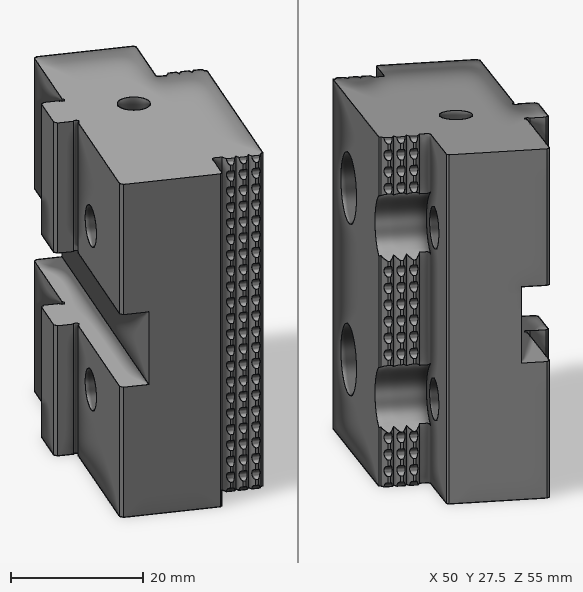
import cadquery as cq
import math

block_width = 50.0
height = 55.0
tongue_depth = 3.5
block_depth = 16.0
grip_depth = 8.0
total_depth = tongue_depth + block_depth + grip_depth

tongue_tip_y = -total_depth / 2
block_front_y = tongue_tip_y + tongue_depth
block_back_y = block_front_y + block_depth
grip_top_y = total_depth / 2

front_chamfer = 0.5
back_chamfer = 0.35

tongue_x = -4.0
tongue_width = 8.05
relief_radius = 0.45
relief_offset = 0.15

grip_x = 2.95
grip_width = 35.0
neck_inset = 1.55
neck_fillet = 0.5
tooth_count = 3
tooth_pitch = 2.0
first_tooth_offset = 1.3
tooth_tip_width = 0.45
tooth_flank_angle = math.radians(30)
tooth_depth = (tooth_pitch - tooth_tip_width) / 2 / math.tan(tooth_flank_angle)

cross_groove_radius = 0.8
cross_groove_offset = 0.1
cross_groove_pitches = 21

slot_height = 12.0
slot_depth = 8.0

hole_diameter = 6.5
counterbore_diameter = 11.0
counterbore_depth = grip_depth
hole_spacing_x = 24.0
hole_spacing_z = 27.0

blind_diameter = 5.0
blind_depth = 15.0
blind_back_offset = 6.0
drill_half_angle = math.radians(59)


def box_between(x_range, y_range):
    """Full-height box between two X and two Y positions."""
    width = x_range[1] - x_range[0]
    depth = y_range[1] - y_range[0]
    box = cq.Workplane("XY").box(width, depth, height, centered=(False, False, True))
    return box.translate((x_range[0], y_range[0], 0))


def make_block():
    block = box_between((-block_width / 2, block_width / 2), (block_front_y, block_back_y))
    block = block.edges("|Z and <Y").chamfer(front_chamfer)
    return block.edges("|Z and >Y").chamfer(back_chamfer)


def make_tongue():
    half = tongue_width / 2
    tongue = box_between((tongue_x - half, tongue_x + half), (tongue_tip_y, block_front_y))
    return tongue.edges("|Z and <Y").chamfer(front_chamfer)


def make_reliefs():
    reach = tongue_width / 2 + relief_offset
    centers = [(tongue_x + side * reach, block_front_y - relief_offset) for side in (-1, 1)]
    return cq.Workplane("XY").pushPoints(centers).circle(relief_radius).extrude(height / 2, both=True)


def grip_half():
    """Half of the grip on the +X side of its middle plane."""
    tip_x = grip_width / 2
    root_x = tip_x - tooth_depth
    neck_x = tip_x - neck_inset
    outline = cq.Workplane("XY").moveTo(0, grip_top_y).lineTo(root_x, grip_top_y)
    for index in range(tooth_count):
        tooth_y = grip_top_y - first_tooth_offset - index * tooth_pitch
        outline = outline.lineTo(root_x, tooth_y + tooth_pitch / 2)
        outline = outline.lineTo(tip_x, tooth_y + tooth_tip_width / 2)
        outline = outline.lineTo(tip_x, tooth_y - tooth_tip_width / 2)
    last_tooth_y = grip_top_y - first_tooth_offset - (tooth_count - 1) * tooth_pitch
    neck_y = last_tooth_y - tooth_tip_width / 2 - neck_inset * math.tan(tooth_flank_angle)
    outline = outline.lineTo(neck_x, neck_y).lineTo(neck_x, block_back_y + neck_fillet)
    outline = outline.radiusArc((neck_x + neck_fillet, block_back_y), -neck_fillet)
    return outline.lineTo(0, block_back_y).close().extrude(height / 2, both=True)


def make_grip():
    half = grip_half()
    grip = half.union(half.mirror("YZ"))
    return grip.translate((grip_x, 0, 0))


def make_cross_grooves():
    pitch = height / cross_groove_pitches
    reach = grip_width / 2 + cross_groove_offset
    centers = []
    for side in (-1, 1):
        for index in range(cross_groove_pitches + 1):
            centers.append((grip_x + side * reach, -height / 2 + index * pitch))
    plane = cq.Workplane("XZ", origin=(0, grip_top_y, 0))
    return plane.pushPoints(centers).circle(cross_groove_radius).extrude(grip_depth)


def make_slot():
    slot = cq.Workplane("XY").box(block_width, slot_depth, slot_height)
    return slot.translate((0, tongue_tip_y + slot_depth / 2, 0))


def make_mounting_holes():
    plane = cq.Workplane("XZ", origin=(tongue_x, grip_top_y, 0))
    plane = plane.rarray(hole_spacing_x, hole_spacing_z, 2, 2)
    holes = plane.circle(hole_diameter / 2).extrude(total_depth)
    counterbores = plane.circle(counterbore_diameter / 2).extrude(counterbore_depth)
    return holes.union(counterbores)


def make_blind_hole():
    radius = blind_diameter / 2
    bottom_z = height / 2 - blind_depth
    tip_z = bottom_z - radius / math.tan(drill_half_angle)
    half_section = [(0, height / 2), (radius, height / 2), (radius, bottom_z), (0, tip_z)]
    hole = cq.Workplane("XZ").polyline(half_section).close().revolve(360, (0, 0, 0), (0, 1, 0))
    return hole.translate((tongue_x, block_back_y - blind_back_offset, 0))


result = make_block().union(make_tongue()).union(make_grip())
result = result.cut(make_reliefs()).cut(make_cross_grooves())
result = result.cut(make_slot()).cut(make_mounting_holes()).cut(make_blind_hole())